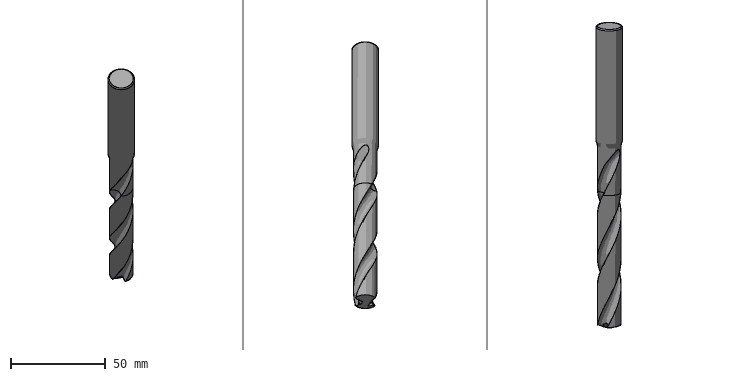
import cadquery as cq
import math

total_length = 167.0
split_height = 75.2
flute_end_height = 92.2
neck_top_height = 101.0
shoulder_height = 103.7

drill_radius = 12.5 / 2
shank_radius = 14.0 / 2
shank_chamfer = 0.7
point_angle = 140.0
point_height = drill_radius / math.tan(math.radians(point_angle / 2))

flute_count = 2
flute_pitch = 77.8
flute_radius = 4.2
core_radius = 3.3
flute_axis_radius = core_radius + flute_radius
flute_phase = -78.0
runout_height = 13.4
runout_lean = 0.8
runout_slope = 0.12

notch_offset = 2.3
notch_half_width = 2.0
notch_roof_height = 2.8
notch_start = 0.5
notch_end = 4.5
notch_start_height = 0.5
notch_slope = 1.6


def flute_angle(height):
    """Direction of the first flute, in degrees, at a given height."""
    return flute_phase + 360.0 * height / flute_pitch


def helical_flute(start, end, index):
    """Cutter for one flute between two heights."""
    angle = flute_angle(start) + index * 360.0 / flute_count
    return (
        cq.Workplane("XY")
        .pushPoints([(flute_axis_radius, 0)])
        .circle(flute_radius)
        .twistExtrude(end - start, 360.0 * (end - start) / flute_pitch)
        .rotate((0, 0, 0), (0, 0, 1), angle)
        .translate((0, 0, start))
    )


def flute_runout(index):
    """Cutter that carries the flute end straight on, sideways and outward, to the surface."""
    direction = cq.Vector(runout_slope * runout_height, runout_lean * runout_height, runout_height)
    section = cq.Face.makeFromWires(
        cq.Wire.makeCircle(flute_radius, cq.Vector(flute_axis_radius, 0, 0), cq.Vector(0, 0, 1))
    )
    angle = flute_angle(flute_end_height) + index * 360.0 / flute_count
    return (
        cq.Workplane(cq.Solid.extrudeLinear(section, direction))
        .rotate((0, 0, 0), (0, 0, 1), angle)
        .translate((0, 0, flute_end_height))
    )


def thinning_notch(index):
    """Cutter with a V-shaped roof that climbs outward from the point into one flute."""
    rise = notch_slope * (notch_end - notch_start)
    eaves_height = notch_start_height - notch_roof_height
    base_height = eaves_height - rise
    left = notch_offset - notch_half_width
    right = notch_offset + notch_half_width
    section = cq.Face.makeFromWires(cq.Wire.makePolygon([
        cq.Vector(left, -notch_start, base_height),
        cq.Vector(right, -notch_start, base_height),
        cq.Vector(right, -notch_start, eaves_height),
        cq.Vector(notch_offset, -notch_start, notch_start_height),
        cq.Vector(left, -notch_start, eaves_height),
    ], close=True))
    direction = cq.Vector(0, notch_start - notch_end, rise)
    return (
        cq.Workplane(cq.Solid.extrudeLinear(section, direction))
        .rotate((0, 0, 0), (0, 0, 1), index * 360.0 / flute_count)
    )


def make_cutting_part():
    """Fluted lower body with its conical point."""
    body = (
        cq.Workplane("XZ")
        .polyline([(0, 0), (drill_radius, point_height), (drill_radius, split_height), (0, split_height)])
        .close()
        .revolve(360, (0, 0), (0, 1))
    )
    for index in range(flute_count):
        body = body.cut(helical_flute(0, split_height, index))
        body = body.cut(thinning_notch(index))
    return body


def make_shank():
    """Plain shank with a conical shoulder, and a neck that carries the flute ends."""
    body = (
        cq.Workplane("XZ")
        .polyline([
            (0, split_height),
            (drill_radius, split_height),
            (drill_radius, neck_top_height),
            (shank_radius, shoulder_height),
            (shank_radius, total_length - shank_chamfer),
            (shank_radius - shank_chamfer, total_length),
            (0, total_length),
        ])
        .close()
        .revolve(360, (0, 0), (0, 1))
    )
    for index in range(flute_count):
        body = body.cut(helical_flute(split_height, flute_end_height, index))
        body = body.cut(flute_runout(index))
    return body


cutting_part = make_cutting_part()
shank = make_shank()
result = cq.Compound.makeCompound([cutting_part.val(), shank.val()])